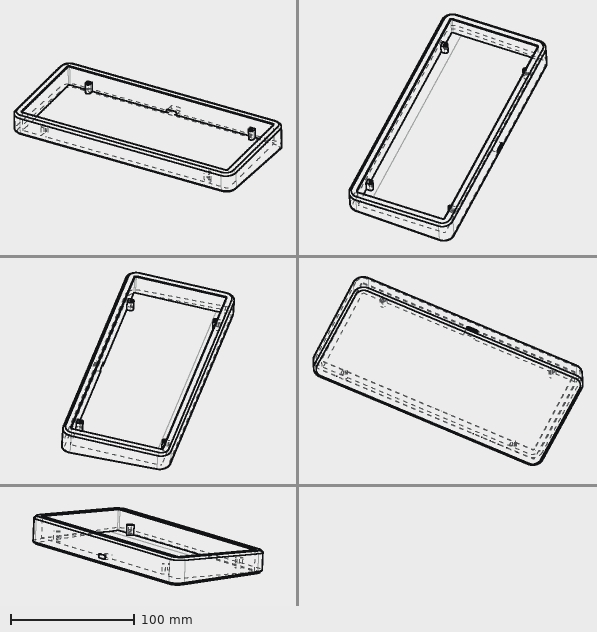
import cadquery as cq
import math


WIDTH = 205.5
LENGTH = 91.2
TILT_DEGREES = 3.0
RIM_HEIGHT = 20.66
CORNER_RADIUS = 9.0
OUTER_CHAMFER = 2.0

WALL = 7.0
CAVITY_WIDTH = WIDTH - 2 * WALL
CAVITY_LENGTH = LENGTH - 2 * WALL
CAVITY_RADIUS = 1.0
RIM_CHAMFER = 0.5
CAVITY_DEPTH = 18.05
FLOOR_Z = RIM_HEIGHT - CAVITY_DEPTH
MIN_FLOOR_THICKNESS = 1.0

POST_RADIUS = 2.2
POST_SPACING_X = 152.2
POST_SPACING_Y = 71.4
POST_TOP_DEPTH = 9.5
POST_TOP_Z = RIM_HEIGHT - POST_TOP_DEPTH
POST_HOLE_DIAMETER = 1.8
POST_HOLE_DEPTH = 5.0

PORT_WIDTH = 9.5
PORT_HEIGHT = 3.25

CLEARANCE = 1.0


def tilt(shape):
    return shape.rotate((0, 0, 0), (1, 0, 0), TILT_DEGREES)


def space_above(height):
    """Block covering everything above a level plane at the given height."""
    return (
        cq.Workplane("XY")
        .workplane(offset=height)
        .rect(2 * WIDTH, 2 * LENGTH)
        .extrude(2 * RIM_HEIGHT)
    )


def rounded_block(width, length, radius, bottom, top):
    return (
        cq.Workplane("XY")
        .workplane(offset=bottom)
        .rect(width, length)
        .extrude(top - bottom)
        .edges("|Z")
        .fillet(radius)
    )


def make_body():
    block = rounded_block(WIDTH, LENGTH, CORNER_RADIUS, -RIM_HEIGHT, RIM_HEIGHT)
    block = block.faces(">Z").chamfer(OUTER_CHAMFER)
    return tilt(block).intersect(space_above(0)).faces("<Z").chamfer(OUTER_CHAMFER)


def make_cavity():
    top = RIM_HEIGHT + CLEARANCE
    pocket = rounded_block(CAVITY_WIDTH, CAVITY_LENGTH, CAVITY_RADIUS, FLOOR_Z, top)
    flare = rounded_block(
        CAVITY_WIDTH + 2 * RIM_CHAMFER,
        CAVITY_LENGTH + 2 * RIM_CHAMFER,
        CAVITY_RADIUS + RIM_CHAMFER,
        RIM_HEIGHT - RIM_CHAMFER,
        top,
    )
    flare = flare.faces("<Z").chamfer(RIM_CHAMFER)
    return tilt(pocket.union(flare)).intersect(space_above(MIN_FLOOR_THICKNESS))


def make_post(x, y):
    """Round post with a web to the nearest long wall and a blind screw hole."""
    side = math.copysign(1, y)
    wall_overlap = WALL / 2
    web_length = CAVITY_LENGTH / 2 - abs(y) + wall_overlap
    post = cq.Workplane("XY").center(x, y).circle(POST_RADIUS).extrude(POST_TOP_Z)
    web = (
        cq.Workplane("XY")
        .center(x, y + side * web_length / 2)
        .rect(2 * POST_RADIUS, web_length)
        .extrude(POST_TOP_Z)
    )
    hole = (
        cq.Workplane("XY")
        .workplane(offset=POST_TOP_Z)
        .center(x, y)
        .circle(POST_HOLE_DIAMETER / 2)
        .extrude(-POST_HOLE_DEPTH)
    )
    post = tilt(post.union(web).cut(hole))
    return post.intersect(space_above(MIN_FLOOR_THICKNESS / 2))


def make_port():
    length = WALL + 2 * CLEARANCE
    port = (
        cq.Workplane("XZ", origin=(0, LENGTH / 2 + CLEARANCE, FLOOR_Z + PORT_HEIGHT / 2))
        .slot2D(PORT_WIDTH, PORT_HEIGHT)
        .extrude(length)
    )
    return tilt(port)


result = make_body().cut(make_cavity())
for post_x in (-POST_SPACING_X / 2, POST_SPACING_X / 2):
    for post_y in (-POST_SPACING_Y / 2, POST_SPACING_Y / 2):
        result = result.union(make_post(post_x, post_y))
result = result.cut(make_port())